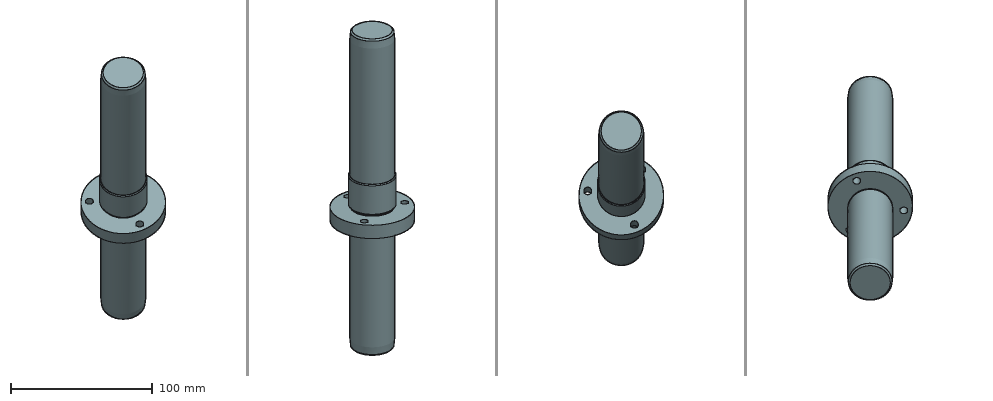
import cadquery as cq

length = 250.0
shaft_radius = 16.0

lead_length = 7.0
lead_radius = 15.5
tip_chamfer = 1.2

flange_radius = 30.0
flange_bottom = 100.0
flange_thickness = 10.5
flange_top = flange_bottom + flange_thickness
hole_count = 3
hole_diameter = 5.5
hole_circle_radius = 24.0

neck_radius = 15.5
lower_neck_height = 1.0
upper_neck_height = 0.8
shoulder_chamfer = shaft_radius - neck_radius
collar_radius = 17.0
collar_bottom = flange_top + upper_neck_height
collar_top = 136.0
collar_bottom_chamfer = collar_radius - neck_radius
collar_top_chamfer = 0.8

lower_shaft_top = flange_bottom - lower_neck_height


def turned_body():
    """Revolve the half section (radius, height) about the Z axis."""
    section = [
        (0, 0),
        (lead_radius - tip_chamfer, 0),
        (lead_radius, tip_chamfer),
        (shaft_radius, lead_length),
        (shaft_radius, lower_shaft_top - shoulder_chamfer),
        (neck_radius, lower_shaft_top),
        (neck_radius, flange_bottom),
        (flange_radius, flange_bottom),
        (flange_radius, flange_top),
        (neck_radius, flange_top),
        (neck_radius, collar_bottom),
        (collar_radius, collar_bottom + collar_bottom_chamfer),
        (collar_radius, collar_top - collar_top_chamfer),
        (collar_radius - collar_top_chamfer, collar_top),
        (shaft_radius, collar_top),
        (shaft_radius, length - lead_length),
        (lead_radius, length - tip_chamfer),
        (lead_radius - tip_chamfer, length),
        (0, length),
    ]
    return cq.Workplane("XZ").polyline(section).close().revolve(360, (0, 0), (0, 1))


def flange_holes():
    """Through-hole cutters, the first one on +X."""
    return (
        cq.Workplane("XY", origin=(0, 0, flange_bottom))
        .polarArray(hole_circle_radius, 0, 360, hole_count)
        .circle(hole_diameter / 2)
        .extrude(flange_thickness)
    )


result = turned_body().cut(flange_holes())